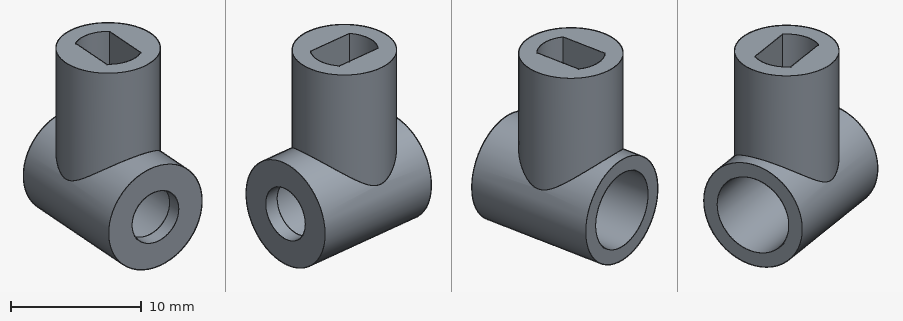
import cadquery as cq

total_height = 16.4
barrel_length = 11.2
barrel_diameter = 8.8
bore_diameter = 6.4
end_hole_diameter = 4.4
stem_diameter = 8.0
stem_offset = 5.0
slot_length = 5.2
slot_width = 3.2

end_wall = (barrel_diameter - bore_diameter) / 2
bore_depth = barrel_length - end_wall

stem_height = total_height - barrel_diameter / 2


def cylinder_along_x(diameter, length):
    return cq.Workplane("YZ").circle(diameter / 2).extrude(length)


def stem_cylinder(diameter):
    return cq.Workplane("XY").center(stem_offset, 0).circle(diameter / 2).extrude(stem_height)


def stem_slot():
    """Round hole with two flats, running from the stem top into the bore."""
    flats = cq.Workplane("XY").center(stem_offset, 0).rect(slot_length, slot_width).extrude(stem_height)
    return stem_cylinder(slot_length).intersect(flats)


body = cylinder_along_x(barrel_diameter, barrel_length).union(stem_cylinder(stem_diameter))
bore = cylinder_along_x(bore_diameter, bore_depth)
end_hole = cylinder_along_x(end_hole_diameter, barrel_length)

result = body.cut(bore).cut(end_hole).cut(stem_slot())